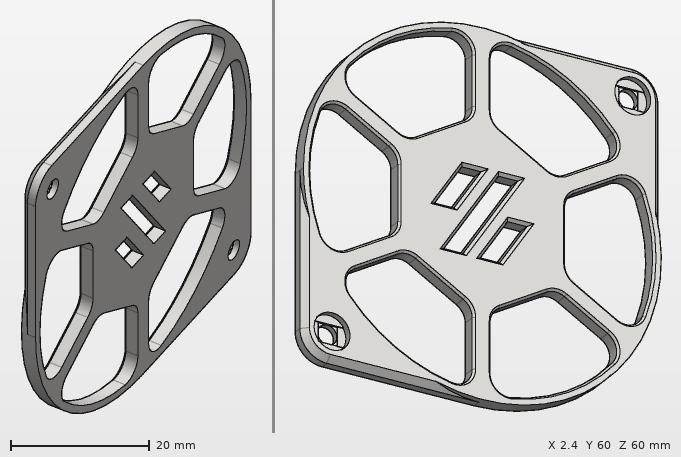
import cadquery as cq
import math

size = 60.0
thickness = 2.4
disc_radius = size / 2

corner_signs = (1, -1)
corner_radius = 4.5
edge_chamfer = 1.0

hole_offset = 25.2
hole_diameter = 3.2
counterbore_diameter = 6.0
counterbore_depth = 1.0
step_depth = 0.2

window_count = 6
hub_apothem = 14.0
spoke_width = 3.0
rim_inner_radius = 28.75
window_corner_radius = 3.0
window_chamfer = 0.35

slot_half_height = 7.45
short_slot_overlap = 0.5
slot_width = 4.4
slot_pitch = 6.1
slot_lean = math.radians(33.3)
slot_chamfer = 0.5


def yz_plane():
    """Work plane on the x = 0 face: local x is Y, local y is Z, extrusion runs along +X."""
    return cq.Workplane("YZ")


def on_screw_corner(sign, distance):
    """Local Y, Z position on the diagonal towards one of the square corners."""
    return sign * distance, -sign * distance


def make_plate():
    """Round disc with two square, rounded and chamfered corners."""
    square = yz_plane().rect(size, size).extrude(thickness)
    square = square.edges("|X").fillet(corner_radius)
    square = square.faces("<X").edges().chamfer(edge_chamfer)
    plate = yz_plane().circle(disc_radius).extrude(thickness)
    for sign in corner_signs:
        quadrant = (
            yz_plane()
            .center(*on_screw_corner(sign, size / 4))
            .rect(size / 2, size / 2)
            .extrude(thickness)
        )
        plate = plate.union(square.intersect(quadrant))
    return plate


def chamfered_cutter(bore, chamfer):
    """Through bore with a 45 degree chamfer at its mouth in the x = 0 face."""
    mouth = bore.faces("<X").wires().toPending().offset2D(chamfer, "intersection").wires().val()
    flare = yz_plane().add(mouth).toPending().extrude(chamfer, taper=45)
    return bore.union(flare)


def make_window_cutter():
    """One window on the +Y axis: hub flat, two spoke sides and rim arc, with a chamfered mouth."""
    half_angle = math.pi / window_count
    half_spoke = spoke_width / 2

    def spoke_side_point(along):
        """Point on the inward side of the upper spoke, at a distance along the spoke from the centre."""
        y = along * math.cos(half_angle) + half_spoke * math.sin(half_angle)
        z = along * math.sin(half_angle) - half_spoke * math.cos(half_angle)
        return y, z

    hub_along = (hub_apothem - half_spoke * math.sin(half_angle)) / math.cos(half_angle)
    rim_along = math.sqrt(rim_inner_radius**2 - half_spoke**2)
    hub_y, hub_z = spoke_side_point(hub_along)
    rim_y, rim_z = spoke_side_point(rim_along)
    bore = (
        yz_plane()
        .moveTo(hub_y, -hub_z)
        .lineTo(rim_y, -rim_z)
        .threePointArc((rim_inner_radius, 0), (rim_y, rim_z))
        .lineTo(hub_y, hub_z)
        .close()
        .extrude(thickness)
        .edges("|X")
        .fillet(window_corner_radius)
    )
    return chamfered_cutter(bore, window_chamfer)


def make_slot_cutter(middle_y, bottom, top):
    """Slanted slot whose centre line crosses z = 0 at middle_y, with a chamfered mouth."""

    def corner(z, side):
        return middle_y + side * slot_width / 2 - z * math.tan(slot_lean), z

    corners = [corner(bottom, -1), corner(bottom, 1), corner(top, 1), corner(top, -1)]
    bore = yz_plane().polyline(corners).close().offset2D(-slot_chamfer).extrude(thickness)
    return chamfered_cutter(bore, slot_chamfer)


def make_screw_cutter(sign):
    """Counterbore, then a flat-sided step, a square step and the round hole."""
    y, z = on_screw_corner(sign, hole_offset)
    flat_depth = counterbore_depth + step_depth
    square_depth = flat_depth + step_depth
    face = yz_plane().center(y, z)
    hole = face.circle(hole_diameter / 2).extrude(thickness)
    square_step = face.rect(hole_diameter, hole_diameter).extrude(square_depth)
    flat_disc = face.circle(counterbore_diameter / 2).extrude(flat_depth)
    flat_band = face.rect(counterbore_diameter, hole_diameter).extrude(flat_depth)
    counterbore = face.circle(counterbore_diameter / 2).extrude(counterbore_depth)
    return counterbore.union(flat_disc.intersect(flat_band)).union(square_step).union(hole)


result = make_plate()

window = make_window_cutter()
for index in range(window_count):
    turn = index * 360 / window_count
    result = result.cut(window.rotate((0, 0, 0), (1, 0, 0), turn))

result = result.cut(make_slot_cutter(0, -slot_half_height, slot_half_height))
result = result.cut(make_slot_cutter(slot_pitch, -short_slot_overlap, slot_half_height))
result = result.cut(make_slot_cutter(-slot_pitch, -slot_half_height, short_slot_overlap))

for sign in corner_signs:
    result = result.cut(make_screw_cutter(sign))